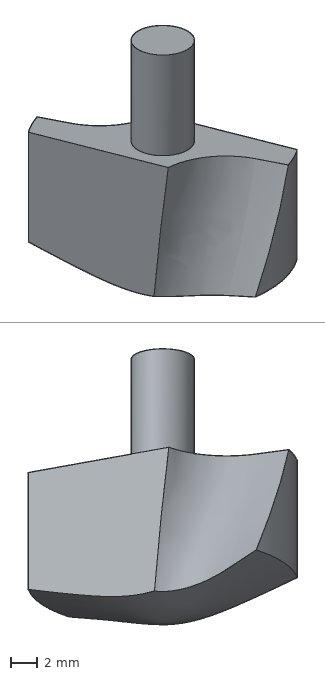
import cadquery as cq
import math

total_height = 21.1
blade_diameter = 20.5
blade_thickness = 7.17
shank_diameter = 4.8
blade_top = 12.5
cone_height = 3.1

flute_radius = 6.0
flute_center_x = 8.19
flute_center_y = -5.17
face_angle = 6.3
flute_twist = 32.9
flute_reach = 12.65

blade_radius = blade_diameter / 2


def make_blank():
    """Pointed round bar, flattened on both sides to the blade thickness."""
    bar = (
        cq.Workplane("XZ")
        .moveTo(0, 0)
        .lineTo(blade_radius, cone_height)
        .lineTo(blade_radius, blade_top)
        .lineTo(0, blade_top)
        .close()
        .revolve(360, (0, 0, 0), (0, 1, 0))
    )
    slab = cq.Workplane("XY").box(
        blade_diameter, blade_thickness, blade_top, centered=(True, True, False)
    )
    return bar.intersect(slab)


def arc_point(angle):
    """Point on the flute arc at an angle in degrees from +X."""
    turn = math.radians(angle)
    return (
        flute_center_x + flute_radius * math.cos(turn),
        flute_center_y + flute_radius * math.sin(turn),
    )


def make_flute():
    """Helical cutter for one flute, reaching its nominal section at the shoulder."""
    wall_start = arc_point(180)
    tangent_angle = 90 + face_angle
    face_start = arc_point(tangent_angle)
    arc_middle = arc_point((180 + tangent_angle) / 2)
    face_run = flute_reach - face_start[0]
    face_end_y = face_start[1] + face_run * math.tan(math.radians(face_angle))
    return (
        cq.Workplane("XY")
        .transformed(rotate=(0, 0, -flute_twist))
        .moveTo(wall_start[0], -flute_reach)
        .lineTo(*wall_start)
        .threePointArc(arc_middle, face_start)
        .lineTo(flute_reach, face_end_y)
        .lineTo(flute_reach, -flute_reach)
        .close()
        .twistExtrude(blade_top, flute_twist)
    )


blade = make_blank()
flute = make_flute()
for flute_turn in (0, 180):
    blade = blade.cut(flute.rotate((0, 0, 0), (0, 0, 1), flute_turn))

shank = (
    cq.Workplane("XY")
    .workplane(offset=blade_top)
    .circle(shank_diameter / 2)
    .extrude(total_height - blade_top)
)

result = blade.union(shank)